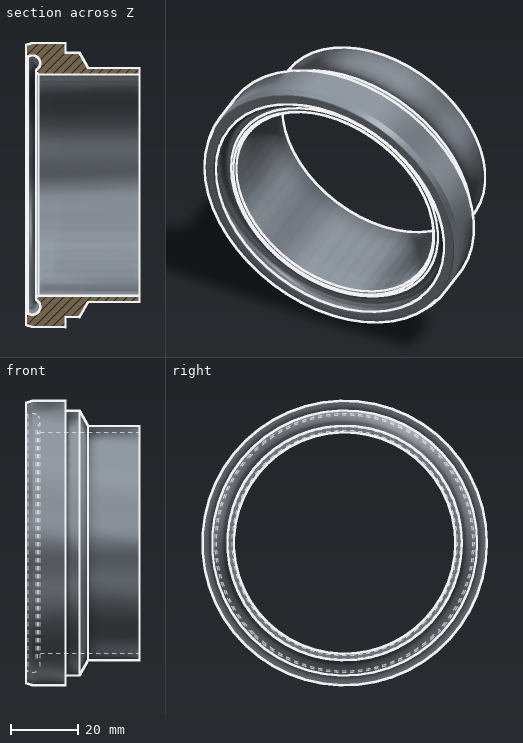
import cadquery as cq
import math

total_length = 34.0
flange_radius = 84.9 / 2
flange_end = 11.9
shoulder_radius = 79.0 / 2
shoulder_end = 16.05
cone_end = 18.6
neck_radius = 70.0 / 2
bore_radius = 66.0 / 2

taper_length = 2.0
taper_front_radius = 41.9
edge_rounding = 0.3

mouth_radius = 38.8
mouth_rounding = 0.6
groove_inner_radius = 34.6
groove_inner_x = 3.5
groove_bottom_radius = 36.1
groove_bottom_x = 4.25

lip_x = 3.0
lip_outer_radius = 33.9
lip_inner_radius = 33.6
bore_chamfer_length = 0.8


def quarter_round_middle(center_x, center_radius, rounding, radial_sign):
    """Middle point of a rounding that faces the front."""
    offset = rounding * math.sqrt(0.5)
    return (center_x - offset, center_radius + radial_sign * offset)


groove_outer_radius = mouth_radius - mouth_rounding
flange_edge_middle = quarter_round_middle(
    edge_rounding, taper_front_radius - edge_rounding, edge_rounding, 1
)
mouth_middle = quarter_round_middle(mouth_rounding, mouth_radius, mouth_rounding, -1)

section = (
    cq.Workplane("XY")
    .moveTo(0, mouth_radius)
    .lineTo(0, taper_front_radius - edge_rounding)
    .threePointArc(flange_edge_middle, (edge_rounding, taper_front_radius))
    .lineTo(taper_length, flange_radius)
    .lineTo(flange_end, flange_radius)
    .lineTo(flange_end, shoulder_radius)
    .lineTo(shoulder_end, shoulder_radius)
    .lineTo(cone_end, neck_radius)
    .lineTo(total_length, neck_radius)
    .lineTo(total_length, bore_radius)
    .lineTo(lip_x + bore_chamfer_length, bore_radius)
    .lineTo(lip_x, lip_inner_radius)
    .lineTo(lip_x, lip_outer_radius)
    .tangentArcPoint((groove_inner_x, groove_inner_radius), relative=False)
    .threePointArc(
        (groove_bottom_x, groove_bottom_radius), (mouth_rounding, groove_outer_radius)
    )
    .threePointArc(mouth_middle, (0, mouth_radius))
    .close()
)

result = section.revolve(360, (0, 0, 0), (1, 0, 0))